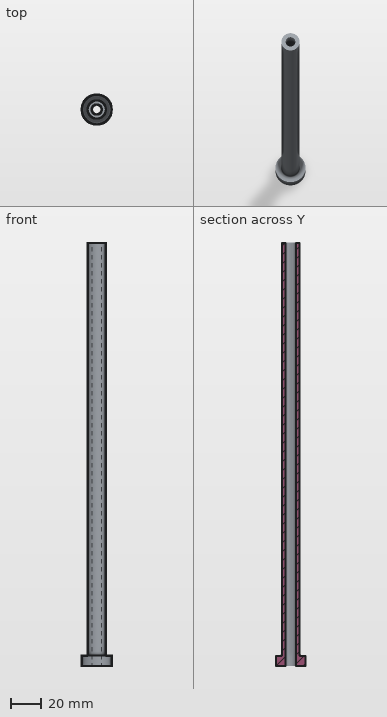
import cadquery as cq

total_length = 282.0
head_diameter = 20.0
head_height = 7.0
tube_diameter = 12.0
bore_diameter = 6.5
root_fillet = 0.5

head_radius = head_diameter / 2
tube_radius = tube_diameter / 2
bore_radius = bore_diameter / 2

fillet_center = (tube_radius + root_fillet, head_height + root_fillet)
fillet_offset = root_fillet * 0.5**0.5
fillet_middle = (fillet_center[0] - fillet_offset, fillet_center[1] - fillet_offset)

half_section = (
    cq.Workplane("XZ")
    .moveTo(bore_radius, 0)
    .lineTo(head_radius, 0)
    .lineTo(head_radius, head_height)
    .lineTo(fillet_center[0], head_height)
    .threePointArc(fillet_middle, (tube_radius, fillet_center[1]))
    .lineTo(tube_radius, total_length)
    .lineTo(bore_radius, total_length)
    .close()
)

result = half_section.revolve(360, (0, 0, 0), (0, 1, 0))